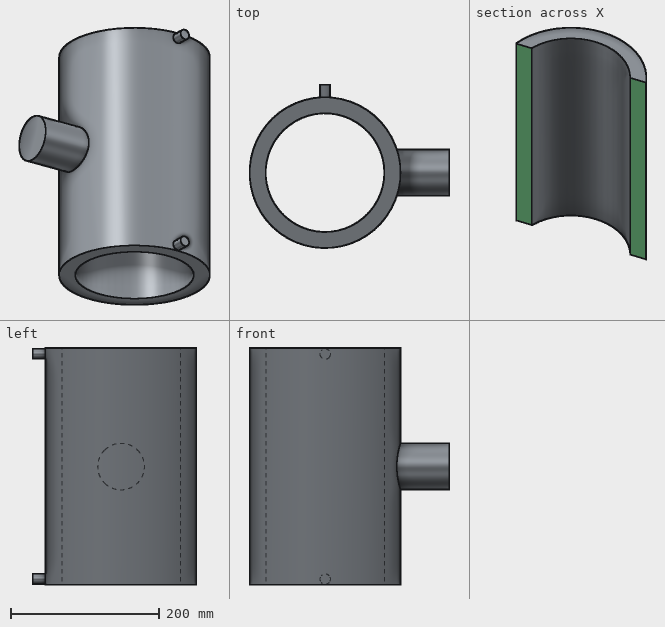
import cadquery as cq

TUBE_HEIGHT = 320.0
TUBE_OUTER_DIAMETER = 204.0
TUBE_BORE_DIAMETER = 160.0

BRANCH_DIAMETER = 63.0
BRANCH_REACH = 168.0

PIN_DIAMETER = 14.0
PIN_REACH = 119.0
PIN_END_OFFSET = 8.0

tube_outer_radius = TUBE_OUTER_DIAMETER / 2
tube_bore_radius = TUBE_BORE_DIAMETER / 2
mid_wall_radius = (tube_outer_radius + tube_bore_radius) / 2


def make_tube():
    """Plain tube open at both ends."""
    return (
        cq.Workplane("XY")
        .circle(tube_outer_radius)
        .circle(tube_bore_radius)
        .extrude(TUBE_HEIGHT)
    )


def make_radial_rod(direction, diameter, reach, height):
    """Solid round rod from the middle of the tube wall outward along a direction."""
    start = direction * mid_wall_radius + cq.Vector(0, 0, height)
    rod = cq.Solid.makeCylinder(diameter / 2, reach - mid_wall_radius, start, direction)
    return cq.Workplane(obj=rod)


def add_branch(body):
    """Large branch centred on the tube height."""
    branch = make_radial_rod(cq.Vector(1, 0, 0), BRANCH_DIAMETER, BRANCH_REACH, TUBE_HEIGHT / 2)
    return body.union(branch)


def add_pins(body):
    """Matching pins near the bottom and top ends."""
    for height in (PIN_END_OFFSET, TUBE_HEIGHT - PIN_END_OFFSET):
        pin = make_radial_rod(cq.Vector(0, 1, 0), PIN_DIAMETER, PIN_REACH, height)
        body = body.union(pin)
    return body


result = add_pins(add_branch(make_tube()))